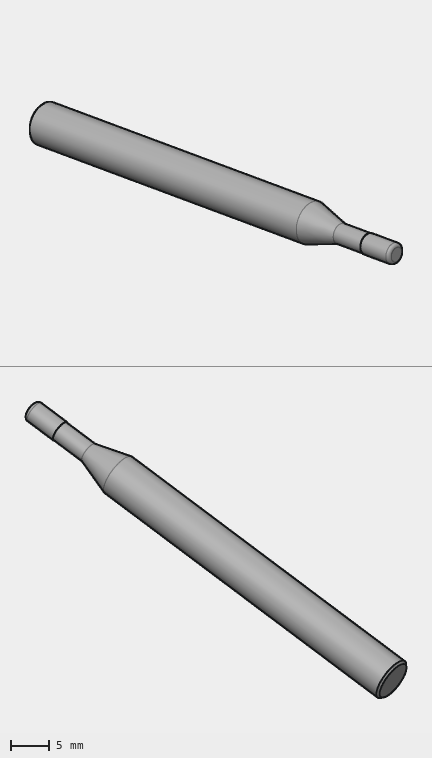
import cadquery as cq

total_length = 63.0
shank_diameter = 6.0
neck_diameter = 2.9
tip_diameter = 3.0

shank_length = 47.9
cone_length = 5.15
tip_length = 5.05

shank_chamfer = 0.3
tip_fillet = 0.5

shank_radius = shank_diameter / 2
neck_radius = neck_diameter / 2
tip_radius = tip_diameter / 2
cone_end = shank_length + cone_length
tip_start = total_length - tip_length

body = (
    cq.Workplane("XY")
    .moveTo(0, 0)
    .lineTo(0, shank_radius)
    .lineTo(shank_length, shank_radius)
    .lineTo(cone_end, neck_radius)
    .lineTo(tip_start, neck_radius)
    .lineTo(tip_start, tip_radius)
    .lineTo(total_length, tip_radius)
    .lineTo(total_length, 0)
    .close()
    .revolve(360, (0, 0, 0), (1, 0, 0))
)

result = body.faces("<X").edges().chamfer(shank_chamfer)
result = result.faces(">X").edges().fillet(tip_fillet)